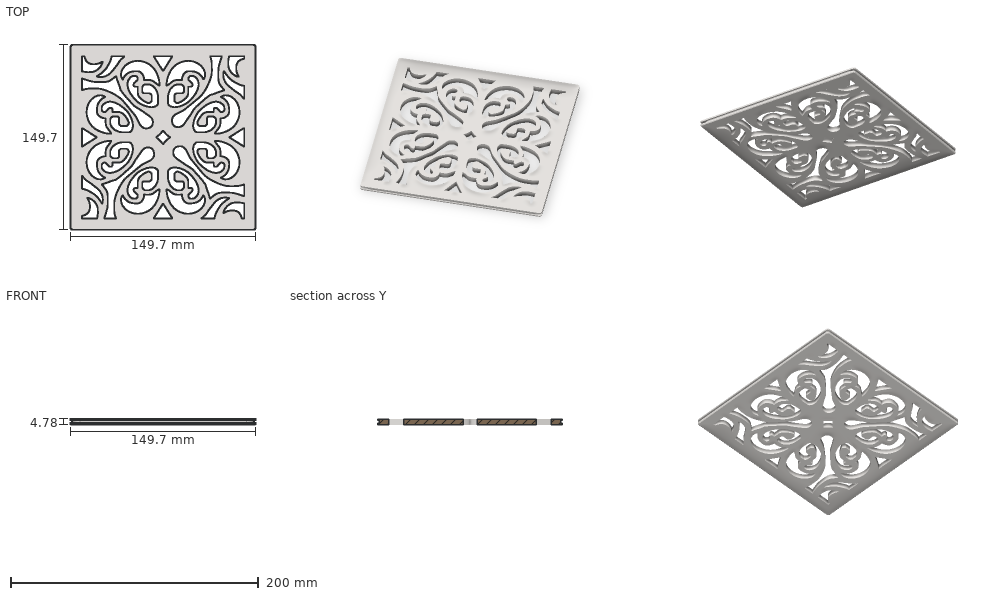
import cadquery as cq

plate_side = 149.73
plate_height = 4.78
plate_corner_radius = 2.0

upper_lip_height = 1.3
lower_lip_height = 1.6
groove_depth = 1.25
groove_corner_radius = 6.35
bottom_chamfer = 0.6

window_half = 65.4
triangle_half_width = 7.4
triangle_tip = 53.6
star_reach = 5.5
star_waist = 2.5

quarter_turns = 4
quarter_angle = 360 / quarter_turns


def cutter(start, runs):
    """Through-cutting prism; each run is a line (one point) or a smooth curve (several points)."""
    sketch = cq.Workplane("XY").moveTo(*start)
    for run in runs:
        if len(run) == 1:
            sketch = sketch.lineTo(*run[0])
        else:
            sketch = sketch.spline(run, includeCurrent=True)
    return sketch.close().extrude(plate_height)


def four_turns(opening):
    """The opening repeated at every quarter turn about the plate axis."""
    return [
        opening.rotate((0, 0, 0), (0, 0, 1), turn * quarter_angle)
        for turn in range(quarter_turns)
    ]


def mirrored_four_turns(opening):
    """The opening and its mirror image, both repeated at every quarter turn."""
    return four_turns(opening) + four_turns(opening.mirror("YZ"))


def make_plate():
    """Two lips joined by a narrower core, which leaves a groove all around the edge."""
    core_side = plate_side - 2 * groove_depth
    upper_lip_bottom = plate_height - upper_lip_height
    groove_height = upper_lip_bottom - lower_lip_height

    lower_lip = (
        cq.Workplane("XY")
        .rect(plate_side, plate_side)
        .extrude(lower_lip_height)
        .edges("|Z")
        .fillet(plate_corner_radius)
        .faces("<Z")
        .chamfer(bottom_chamfer)
    )
    core = (
        cq.Workplane("XY")
        .workplane(offset=lower_lip_height)
        .rect(core_side, core_side)
        .extrude(groove_height)
        .edges("|Z")
        .fillet(groove_corner_radius)
    )
    upper_lip = (
        cq.Workplane("XY")
        .workplane(offset=upper_lip_bottom)
        .rect(plate_side, plate_side)
        .extrude(upper_lip_height)
        .edges("|Z")
        .fillet(plate_corner_radius)
    )
    return lower_lip.union(core).union(upper_lip)


def center_star():
    """Four-pointed star with slightly hollow sides."""
    sketch = cq.Workplane("XY").moveTo(star_reach, 0)
    sketch = sketch.threePointArc((star_waist, star_waist), (0, star_reach))
    sketch = sketch.threePointArc((-star_waist, star_waist), (-star_reach, 0))
    sketch = sketch.threePointArc((-star_waist, -star_waist), (0, -star_reach))
    sketch = sketch.threePointArc((star_waist, -star_waist), (star_reach, 0))
    return [sketch.close().extrude(plate_height)]


def border_triangles():
    """Triangle at the middle of each window side, pointing at the center."""
    triangle = cutter(
        (-triangle_half_width, window_half),
        [[(triangle_half_width, window_half)], [(0, triangle_tip)]],
    )
    return four_turns(triangle)


def crescents():
    """Crescent that hugs the outside of each scroll."""
    outer_tip = (-32.6, 46.8)
    inner_tip = (-2.9, 42.0)
    notch = (-15.2, 46.3)
    back = [
        (-33.9, 50.2), (-32.7, 55.1), (-27.7, 59.9), (-20.5, 61.7), (-14.0, 60.4),
        (-9.1, 57.4), (-5.3, 52.0), (-3.3, 46.0), inner_tip,
    ]
    inner_hollow = [(-6.0, 43.9), (-8.5, 45.7), (-11.0, 46.4), notch]
    outer_hollow = [
        (-16.2, 50.3), (-18.8, 53.0), (-22.8, 53.5), (-26.5, 52.8), (-29.2, 51.3), outer_tip,
    ]
    return mirrored_four_turns(cutter(outer_tip, [back, inner_hollow, outer_hollow]))


def scrolls():
    """Hooked scroll with a small bud at one end and a curl at the other."""
    bud_top = (-22.8, 49.5)
    bud_side = [
        (-20.9, 48.6), (-20.5, 47.0), (-21.5, 45.4), (-23.2, 44.0), (-23.7, 41.4),
    ]
    step = [(-22.6, 40.8), (-20.5, 40.8)]
    inner_wall = (-20.5, 35.6)
    inner_curve = [(-19.3, 32.6), (-16.5, 30.0), (-13.5, 28.2), (-11.6, 27.5)]
    inner_turn = [(-10.3, 28.1), (-9.1, 29.5)]
    inner_rise = (-9.1, 34.0)
    inner_bend = [(-9.8, 34.9), (-11.0, 35.7)]
    curl_bottom = (-15.5, 35.7)
    curl_lower_bend = [(-16.4, 36.1), (-16.8, 37.0)]
    curl_end = (-16.8, 40.3)
    curl_upper_bend = [(-16.2, 41.6), (-14.8, 42.6)]
    curl_top = (-11.0, 42.6)
    shoulder = [(-8.5, 41.5), (-6.0, 38.9), (-4.7, 36.0), (-4.1, 33.0)]
    outer_wall = (-4.1, 27.5)
    outer_curve = [
        (-4.7, 26.1), (-6.2, 25.0), (-9.2, 24.3), (-13.3, 25.0), (-16.4, 26.2), (-20.0, 28.2),
        (-23.7, 31.9), (-26.4, 35.5), (-28.1, 39.3), (-28.8, 42.8), (-28.1, 46.0),
        (-26.4, 48.4), bud_top,
    ]
    runs = [
        bud_side, step[:1], step[1:], [inner_wall], inner_curve, inner_turn, [inner_rise],
        inner_bend, [curl_bottom], curl_lower_bend, [curl_end], curl_upper_bend, [curl_top],
        shoulder, [outer_wall], outer_curve,
    ]
    return mirrored_four_turns(cutter(bud_top, runs))


def stems():
    """Long stem from the window side to a round bulb near the center."""
    side_top = (-window_half, 47.4)
    side_bottom = (-window_half, 38.2)
    barb = (-38.0, 49.4)
    neck = (-34.4, 38.2)
    top_curve = [
        (-61.0, 46.0), (-57.0, 44.9), (-52.0, 44.5), (-47.0, 44.6), (-43.5, 45.4),
        (-41.0, 47.0), barb,
    ]
    barb_curve = [(-37.0, 46.0), (-35.6, 42.3), neck]
    bulb_and_lower_curve = [
        (-31.5, 34.3), (-27.0, 29.3), (-22.8, 25.0), (-18.0, 22.0), (-13.5, 18.8),
        (-9.3, 15.5), (-8.3, 12.6), (-8.9, 9.5), (-13.3, 7.2), (-17.0, 8.4), (-19.5, 12.0),
        (-22.0, 16.9), (-25.5, 21.2), (-29.5, 26.2), (-33.8, 31.0), (-40.0, 35.2),
        (-46.0, 37.9), (-51.0, 39.3), (-55.5, 39.6), (-60.5, 39.4), side_bottom,
    ]
    return four_turns(cutter(side_top, [top_curve, barb_curve, bulb_and_lower_curve]))


def leaves():
    """Curved leaf beside each stem, open to the window side."""
    side_left = (-41.5, window_half)
    side_right = (-31.2, window_half)
    tip = (-53.5, 49.2)
    lower_curve = [
        (-32.8, 64.0), (-34.6, 62.3), (-36.8, 59.0), (-38.9, 56.3), (-40.9, 53.7), (-43.5, 51.0),
        (-47.0, 49.2), tip,
    ]
    upper_curve = [(-49.0, 52.4), (-46.1, 55.4), (-43.9, 58.9), (-42.2, 62.5), side_left]
    return four_turns(cutter(side_left, [[side_right], lower_curve, upper_curve]))


def corner_horns():
    """Horn in each corner of the window."""
    corner = (-window_half, window_half)
    corner_end = (-63.6, window_half)
    side_end = (-window_half, 53.4)
    tip = (-48.9, 61.1)
    upper_curve = [(-62.8, 63.0), (-61.0, 60.5), (-58.3, 59.2), (-55.0, 59.0), (-52.0, 59.6), tip]
    lower_curve = [
        (-50.3, 57.5), (-52.0, 55.5), (-54.5, 53.7), (-57.0, 52.9), (-61.0, 52.7), side_end,
    ]
    return four_turns(cutter(corner, [[corner_end], upper_curve, lower_curve]))


openings = (
    center_star()
    + border_triangles()
    + crescents()
    + scrolls()
    + stems()
    + leaves()
    + corner_horns()
)
opening_solids = [opening.val() for opening in openings]
result = cq.Workplane(obj=make_plate().val().cut(*opening_solids)).solids()